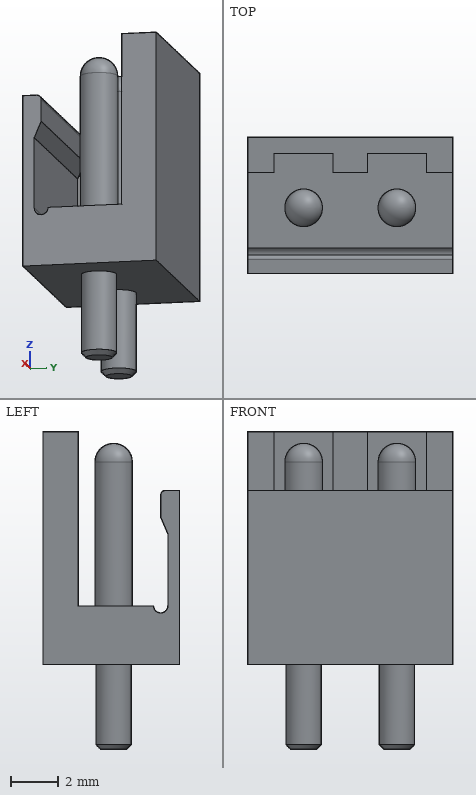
import cadquery as cq
import math


pin_count = 2
pin_pitch = 3.96
pin_y = 2.8
pin_radius = 0.8
pin_top = 9.4
tail_radius = 0.75
tail_length = 3.6
tail_chamfer = 0.2

end_margin = 2.38
housing_length = (pin_count - 1) * pin_pitch + 2 * end_margin
housing_depth = 5.8
housing_height = 9.9
floor_height = 2.5

back_wall_thickness = 1.5
back_wall_face_y = housing_depth - back_wall_thickness
recess_width = 2.5
recess_depth = 0.8

latch_height = 7.4
latch_thickness = 0.5
lip_thickness = 0.8
lip_bottom = 6.25
lip_ramp_height = 0.7
lip_fillet = 0.2
groove_radius = 0.3

pin_positions = [(i - (pin_count - 1) / 2) * pin_pitch for i in range(pin_count)]


def make_housing():
    """Extrude the U-shaped Y-Z section along X and cut the back wall recesses."""
    groove_center_y = latch_thickness + groove_radius
    body = (
        cq.Workplane("YZ")
        .moveTo(0, 0)
        .lineTo(housing_depth, 0)
        .lineTo(housing_depth, housing_height)
        .lineTo(back_wall_face_y, housing_height)
        .lineTo(back_wall_face_y, floor_height)
        .lineTo(groove_center_y + groove_radius, floor_height)
        .threePointArc(
            (groove_center_y, floor_height - groove_radius),
            (latch_thickness, floor_height),
        )
        .lineTo(latch_thickness, lip_bottom - lip_ramp_height)
        .lineTo(lip_thickness, lip_bottom)
        .lineTo(lip_thickness, latch_height - lip_fillet)
        .radiusArc((lip_thickness - lip_fillet, latch_height), -lip_fillet)
        .lineTo(0, latch_height)
        .close()
        .extrude(housing_length / 2, both=True)
    )
    recesses = (
        cq.Workplane("XY", origin=(0, back_wall_face_y + recess_depth / 2, floor_height))
        .pushPoints([(x, 0) for x in pin_positions])
        .rect(recess_width, recess_depth)
        .extrude(housing_height - floor_height)
    )
    return body.cut(recesses)


def make_pin(x):
    """Revolve one pin: chamfered tail, wider post and hemispherical tip."""
    dome_base = pin_top - pin_radius
    dome_mid = pin_radius * math.sin(math.pi / 4)
    profile = (
        cq.Workplane("XZ")
        .moveTo(0, -tail_length)
        .lineTo(tail_radius - tail_chamfer, -tail_length)
        .lineTo(tail_radius, -tail_length + tail_chamfer)
        .lineTo(tail_radius, floor_height)
        .lineTo(pin_radius, floor_height)
        .lineTo(pin_radius, dome_base)
        .threePointArc((dome_mid, dome_base + dome_mid), (0, pin_top))
        .close()
    )
    return profile.revolve(360, (0, 0, 0), (0, 1, 0)).translate((x, pin_y, 0))


result = make_housing()
for pin_x in pin_positions:
    result = result.union(make_pin(pin_x))